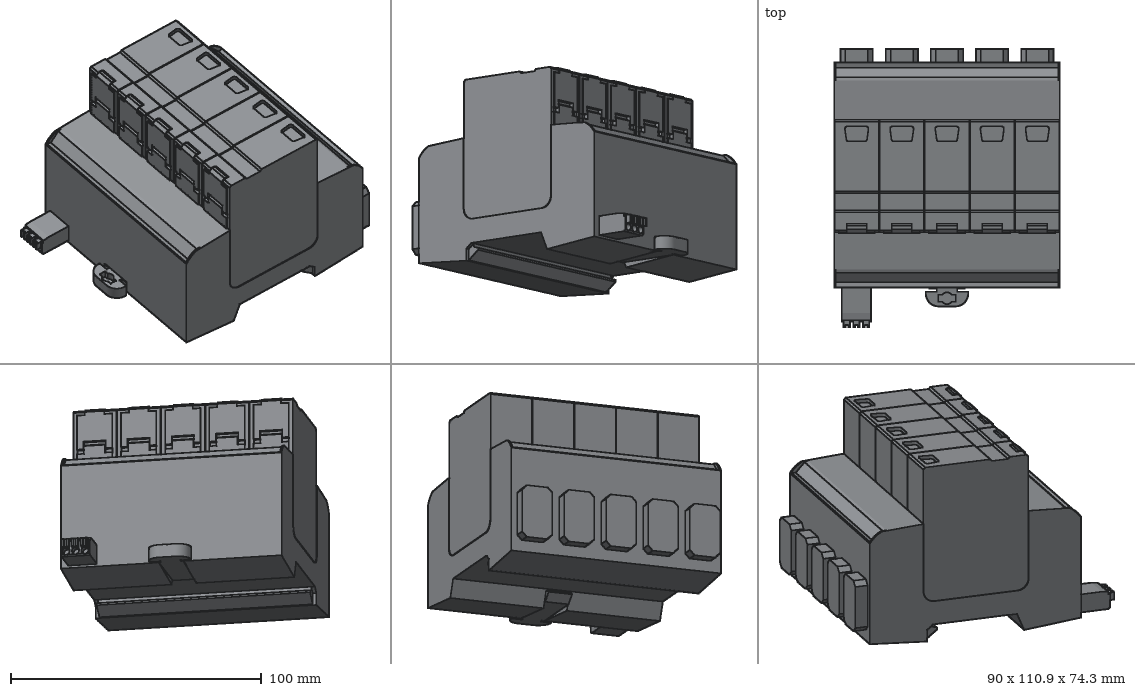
import cadquery as cq
WIDTH = 90.0
HALF_DEPTH = 45.0
WALL_BOTTOM_Z = 2.2
WALL_TOP_Z = 44.8
SHOULDER_Y = 40.0
SHOULDER_Z = 49.2
SHOULDER_BULGE = (42.9, 47.3)
DECK_Z = 50.2
FRONT_FOOT_Y = -20.8
BACK_FOOT_Y = 20.6
BACK_FOOT_BOTTOM_Z = 0.3
BACK_FOOT_TOP_Z = 5.2
RAIL_ROOF_Z = 7.2
RAIL_FRONT_Y = -17.7
RAIL_BACK_Y = 18.0

STRIP_END_WALL = 0.7
STRIP_LIP = (44.2, 45.2)
STRIP_VALLEY = (42.8, 44.9)
STRIP_CREST = (39.0, 48.9)
STRIP_INNER = (36.9, 49.6)
STRIP_CLEARANCE = 2.0

HOOK_INSET = 1.5
HOOK_TIP_Y = 15.8
HOOK_TIP_Z = (4.3, 5.1)
HOOK_NECK = (17.9, 5.8)
HOOK_ROOT_Z = 0.7

MODULES = 5
PITCH = WIDTH / MODULES
SIDE_INSET = 0.3
GAP = 0.4
MODULE_FRONT_Y = -22.7
MODULE_BACK_Y = 22.1
MODULE_BOTTOM_Z = 17.0
MODULE_TOP_Z = 73.9
MODULE_CORNER_R = 4.7
TOP_CHAMFER = 0.8
GROOVE_BACK_Y = -6.4
GROOVE_FRONT_Y = -14.8
GROOVE_DEPTH = 0.8
MODULE_CENTERS = [(i - (MODULES - 1) / 2) * PITCH for i in range(MODULES)]

PANEL_WIDTH = 14.4
PANEL_HEIGHT = 0.5
PANEL_TOP_Z = 71.9
PANEL_Y = MODULE_FRONT_Y - PANEL_HEIGHT
SLOT_HEIGHT = 1.9
SLOT_DEPTH = 1.7
SLOT_SIDE = 0.25
SHOULDER_SLOT_Z = 55.8
TONGUE_Z = 59.0
TONGUE_RISE = 0.8
TONGUE_WIDTH = 8.6

TAB_WIDTH = 8.0
TAB_TOP_Z = 74.3
TAB_BACK_Y = -19.5
TAB_RAMP = 0.8
TAB_FRONT_TOP_Y = -21.6
TAB_SLOPE_BOTTOM_Z = 73.1

POCKET_BACK_Y = 19.4
POCKET_FRONT_Y = 13.4
POCKET_BACK_WIDTH = 9.7
POCKET_FRONT_WIDTH = 8.0
POCKET_R = 1.0
POCKET_DEPTH = 1.5

TERMINAL_WIDTH = 13.0
TERMINAL_BOTTOM_Z = 6.9
TERMINAL_TOP_Z = 28.3
TERMINAL_CHAMFER = 2.0
TERMINAL_LENGTH = 5.3

CONN_CENTER_X = -36.1
CONN_WIDTH = 11.7
CONN_BOTTOM_Z = 3.2
CONN_TOP_Z = 10.9
CONN_END_Z = 10.5
CONN_SLOPE_Y = -55.0
CONN_SHELF_Y = -57.8
CONN_FACE_Y = -58.5
CONN_FACE_TOP_Z = 9.4
CONN_FACE_CHAMFER = 0.7
POLES = 3
POLE_PITCH = 3.85
PRONG_WIDTH = 2.6
PRONG_BOTTOM_Z = 6.6
PRONG_TOP_Z = 9.8
PRONG_TIP_Y = -60.6
PRONG_SLOT_WIDTH = 1.0
PRONG_SLOT_DEPTH = 0.8
WIRE_HOLE_D = 2.9
WIRE_HOLE_Z = 5.2
WIRE_HOLE_DEPTH = 3.0

CLIP_WIDTH = 17.0
CLIP_BACK_Y = -46.5
CLIP_FRONT_Y = -52.4
CLIP_R = 5.2
CLIP_BOTTOM_Z = 2.2
CLIP_TOP_Z = 7.4
CLIP_BAR_WIDTH = 8.2
CLIP_LEDGE_WIDTH = 14.0
CLIP_LEDGE_Y = -45.3
CLIP_HOLE_Y = -49.1
CLIP_HOLE_D = 4.7
CLIP_HOLE_DEPTH = 3.0
CLIP_SLOT = (7.0, 2.8)
NOSE_TIP_Y = -15.2
NOSE_TIP_Z = 5.3
NOSE_TOP = (-16.6, 6.4)
NOSE_BOTTOM_Y = -19.0
CHANNEL_WIDTH = 10.0


def prism_x(points, width, center_x=0.0):
    """Extrude a closed YZ polygon along X, centred on center_x."""
    return cq.Workplane("YZ", origin=(center_x - width / 2, 0, 0)).polyline(points).close().extrude(width)


def block(x, y, z):
    """Box given by its (min, max) range along each axis."""
    size = [max(r) - min(r) for r in (x, y, z)]
    return cq.Workplane("XY").box(*size, centered=False).translate((min(x), min(y), min(z)))


def span(center, width):
    return center - width / 2, center + width / 2


def base_housing():
    bulge_y, bulge_z = SHOULDER_BULGE
    return (
        cq.Workplane("YZ", origin=(-WIDTH / 2, 0, 0))
        .moveTo(-HALF_DEPTH, WALL_BOTTOM_Z)
        .lineTo(-HALF_DEPTH, WALL_TOP_Z)
        .threePointArc((-bulge_y, bulge_z), (-SHOULDER_Y, SHOULDER_Z))
        .lineTo(MODULE_FRONT_Y, DECK_Z)
        .lineTo(MODULE_BACK_Y, DECK_Z)
        .lineTo(SHOULDER_Y, SHOULDER_Z)
        .threePointArc((bulge_y, bulge_z), (HALF_DEPTH, WALL_TOP_Z))
        .lineTo(HALF_DEPTH, WALL_BOTTOM_Z)
        .lineTo(BACK_FOOT_Y, BACK_FOOT_BOTTOM_Z)
        .lineTo(BACK_FOOT_Y, BACK_FOOT_TOP_Z)
        .lineTo(RAIL_BACK_Y, RAIL_ROOF_Z)
        .lineTo(RAIL_FRONT_Y, RAIL_ROOF_Z)
        .lineTo(FRONT_FOOT_Y, 0)
        .close()
        .extrude(WIDTH)
    )


def shoulder_strip(side):
    """Cutter for the marking strip; side is -1 for the front, +1 for the back."""
    profile = [
        STRIP_LIP,
        STRIP_VALLEY,
        STRIP_CREST,
        STRIP_INNER,
        (STRIP_INNER[0], DECK_Z + STRIP_CLEARANCE),
        (HALF_DEPTH + STRIP_CLEARANCE, DECK_Z + STRIP_CLEARANCE),
        (HALF_DEPTH + STRIP_CLEARANCE, STRIP_LIP[1]),
    ]
    return prism_x([(side * y, z) for y, z in profile], WIDTH - 2 * STRIP_END_WALL)


def rail_hook():
    profile = [
        (BACK_FOOT_Y, HOOK_ROOT_Z),
        (HOOK_TIP_Y, HOOK_TIP_Z[0]),
        (HOOK_TIP_Y, HOOK_TIP_Z[1]),
        HOOK_NECK,
        (RAIL_BACK_Y, RAIL_ROOF_Z),
        (BACK_FOOT_Y, RAIL_ROOF_Z),
    ]
    return prism_x(profile, WIDTH - 2 * HOOK_INSET)


def module_recess():
    """Full-width pocket of the housing that receives the modules."""
    return (
        block((-WIDTH / 2, WIDTH / 2), (MODULE_FRONT_Y, MODULE_BACK_Y), (MODULE_BOTTOM_Z, MODULE_TOP_Z))
        .edges("|X and <Z")
        .fillet(MODULE_CORNER_R)
    )


def module_bank():
    """All modules as one block with the shared top profile, parted by narrow gaps."""
    half = WIDTH / 2 - SIDE_INSET
    bank = (
        block((-half, half), (MODULE_FRONT_Y, MODULE_BACK_Y), (MODULE_BOTTOM_Z, MODULE_TOP_Z))
        .edges("|X and <Z")
        .fillet(MODULE_CORNER_R)
        .edges("|X and >Z")
        .chamfer(TOP_CHAMFER)
    )
    groove_bottom_z = MODULE_TOP_Z - GROOVE_DEPTH
    groove = [
        (GROOVE_BACK_Y, MODULE_TOP_Z),
        (GROOVE_BACK_Y - GROOVE_DEPTH, groove_bottom_z),
        (GROOVE_FRONT_Y + GROOVE_DEPTH, groove_bottom_z),
        (GROOVE_FRONT_Y, MODULE_TOP_Z),
    ]
    bank = bank.cut(prism_x(groove, WIDTH))
    for left in MODULE_CENTERS[:-1]:
        gap_x = span(left + PITCH / 2, GAP)
        bank = bank.cut(block(gap_x, (MODULE_FRONT_Y, MODULE_BACK_Y), (DECK_Z, MODULE_TOP_Z)))
    return bank


def front_panel(x):
    """Raised panel that reaches up between the shoulders to meet the latch tab."""
    panel_y = (PANEL_Y, MODULE_FRONT_Y)
    panel = block(span(x, PANEL_WIDTH), panel_y, (DECK_Z, PANEL_TOP_Z))
    neck = block(span(x, TAB_WIDTH), panel_y, (PANEL_TOP_Z, TAB_SLOPE_BOTTOM_Z))
    return panel.union(neck)


def panel_slot(x):
    """Stepped slot that parts the upper panel from the lower one and its tongue."""
    slot_y = (PANEL_Y, PANEL_Y + SLOT_DEPTH)
    outer_width = TONGUE_WIDTH + 2 * SLOT_SIDE
    shoulders = block(span(x, PANEL_WIDTH), slot_y, (SHOULDER_SLOT_Z, SHOULDER_SLOT_Z + SLOT_HEIGHT))
    around_tongue = block(span(x, outer_width), slot_y, (SHOULDER_SLOT_Z, TONGUE_Z + SLOT_HEIGHT))
    tongue_profile = [
        (slot_y[0], SHOULDER_SLOT_Z),
        (slot_y[0], TONGUE_Z),
        (slot_y[1], TONGUE_Z + TONGUE_RISE),
        (slot_y[1], SHOULDER_SLOT_Z),
    ]
    tongue = prism_x(tongue_profile, TONGUE_WIDTH, x)
    return shoulders.union(around_tongue).cut(tongue)


def latch_tab(x):
    profile = [
        (TAB_BACK_Y, MODULE_TOP_Z - TOP_CHAMFER),
        (TAB_BACK_Y, MODULE_TOP_Z),
        (TAB_BACK_Y - TAB_RAMP, TAB_TOP_Z),
        (TAB_FRONT_TOP_Y, TAB_TOP_Z),
        (PANEL_Y, TAB_SLOPE_BOTTOM_Z),
        (PANEL_Y, PANEL_TOP_Z),
        (TAB_BACK_Y, PANEL_TOP_Z),
    ]
    return prism_x(profile, TAB_WIDTH, x)


def finger_pocket(x):
    half_back = POCKET_BACK_WIDTH / 2
    half_front = POCKET_FRONT_WIDTH / 2
    outline = [
        (x - half_back, POCKET_BACK_Y),
        (x + half_back, POCKET_BACK_Y),
        (x + half_front, POCKET_FRONT_Y),
        (x - half_front, POCKET_FRONT_Y),
    ]
    return (
        cq.Workplane("XY", origin=(0, 0, MODULE_TOP_Z - POCKET_DEPTH))
        .polyline(outline)
        .close()
        .extrude(POCKET_DEPTH)
        .edges("|Z")
        .fillet(POCKET_R)
    )


def terminal_block(x):
    terminal_y = (HALF_DEPTH, HALF_DEPTH + TERMINAL_LENGTH)
    return (
        block(span(x, TERMINAL_WIDTH), terminal_y, (TERMINAL_BOTTOM_Z, TERMINAL_TOP_Z))
        .edges("|Y")
        .chamfer(TERMINAL_CHAMFER)
    )


def signal_connector():
    profile = [
        (-HALF_DEPTH, CONN_BOTTOM_Z),
        (-HALF_DEPTH, CONN_TOP_Z),
        (CONN_SLOPE_Y, CONN_TOP_Z),
        (CONN_SHELF_Y, CONN_END_Z),
        (CONN_SHELF_Y, CONN_FACE_TOP_Z),
        (CONN_FACE_Y, CONN_FACE_TOP_Z),
        (CONN_FACE_Y, CONN_BOTTOM_Z + CONN_FACE_CHAMFER),
        (CONN_FACE_Y + CONN_FACE_CHAMFER, CONN_BOTTOM_Z),
    ]
    connector = prism_x(profile, CONN_WIDTH, CONN_CENTER_X)
    for i in range(POLES):
        x = CONN_CENTER_X + (i - (POLES - 1) / 2) * POLE_PITCH
        wire_hole = (
            cq.Workplane("XZ", origin=(x, CONN_FACE_Y, WIRE_HOLE_Z))
            .circle(WIRE_HOLE_D / 2)
            .extrude(-WIRE_HOLE_DEPTH)
        )
        prong = block(span(x, PRONG_WIDTH), (PRONG_TIP_Y, CONN_SHELF_Y), (PRONG_BOTTOM_Z, PRONG_TOP_Z))
        tip_slot_y = (PRONG_TIP_Y, PRONG_TIP_Y + PRONG_SLOT_DEPTH)
        tip_slot = block(span(x, PRONG_SLOT_WIDTH), tip_slot_y, (PRONG_BOTTOM_Z, PRONG_TOP_Z))
        connector = connector.cut(wire_hole).union(prong.cut(tip_slot))
    return connector


def clip_channel():
    return block(span(0, CHANNEL_WIDTH), (-HALF_DEPTH, RAIL_FRONT_Y), (0, WALL_BOTTOM_Z))


def rail_clip():
    """Pull plate, its neck and ledge, and the bar ending in the rail nose."""
    clip_z = (CLIP_BOTTOM_Z, CLIP_TOP_Z)
    plate = (
        block(span(0, CLIP_WIDTH), (CLIP_FRONT_Y, CLIP_BACK_Y), clip_z)
        .edges("|Z and <Y")
        .fillet(CLIP_R)
    )
    neck = block(span(0, CLIP_BAR_WIDTH), (CLIP_BACK_Y, -HALF_DEPTH), clip_z)
    ledge = block(span(0, CLIP_LEDGE_WIDTH), (CLIP_LEDGE_Y, -HALF_DEPTH), clip_z)
    hole_bottom_z = CLIP_TOP_Z - CLIP_HOLE_DEPTH
    hole = (
        cq.Workplane("XY", origin=(0, CLIP_HOLE_Y, hole_bottom_z))
        .circle(CLIP_HOLE_D / 2)
        .extrude(CLIP_HOLE_DEPTH)
        .union(block(span(0, CLIP_SLOT[0]), span(CLIP_HOLE_Y, CLIP_SLOT[1]), (hole_bottom_z, CLIP_TOP_Z)))
    )
    nose = prism_x(
        [
            (FRONT_FOOT_Y, CLIP_BOTTOM_Z),
            (NOSE_BOTTOM_Y, CLIP_BOTTOM_Z),
            (NOSE_TIP_Y, NOSE_TIP_Z),
            NOSE_TOP,
            (FRONT_FOOT_Y, NOSE_TOP[1]),
        ],
        CHANNEL_WIDTH,
    )
    return plate.union(neck).union(ledge).cut(hole).union(nose)


def build():
    part = base_housing().union(rail_hook())
    part = part.cut(shoulder_strip(-1)).cut(shoulder_strip(1)).cut(module_recess())
    part = part.union(module_bank()).cut(clip_channel())
    for x in MODULE_CENTERS:
        part = part.union(front_panel(x)).union(latch_tab(x)).union(terminal_block(x))
        part = part.cut(panel_slot(x)).cut(finger_pocket(x))
    return part.union(signal_connector()).union(rail_clip())


result = build()